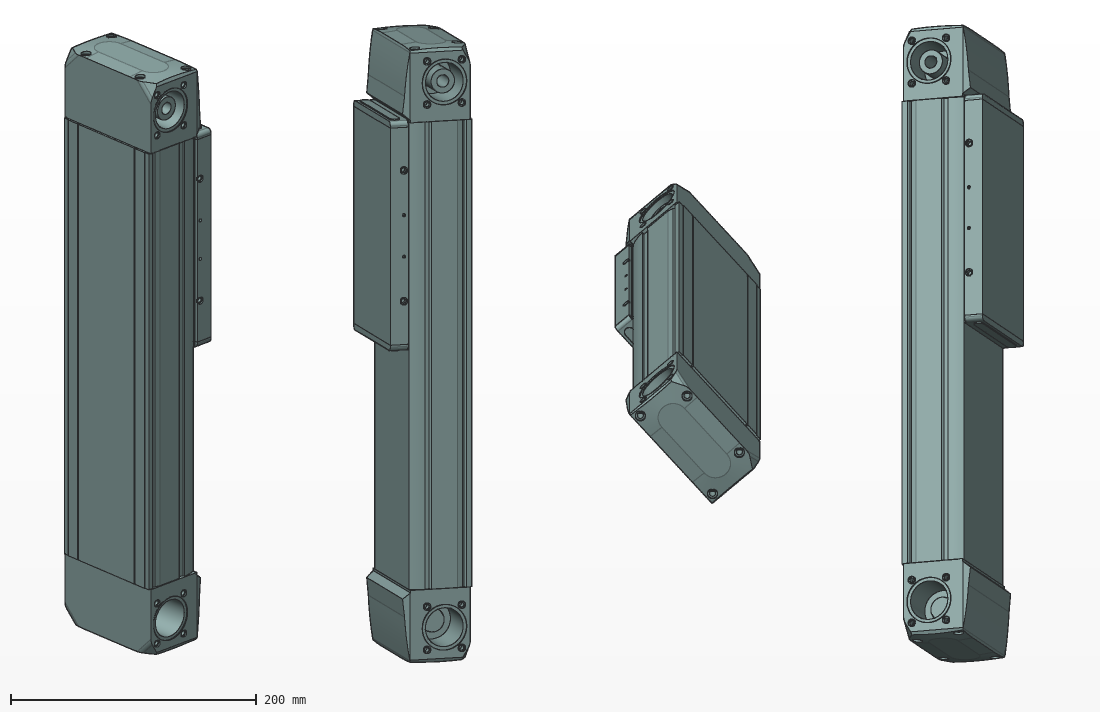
import cadquery as cq
import math

total_length = 511.0
head_length = 62.0
half_length = total_length / 2
head_inner_z = half_length - head_length

profile_half_width = 50.0
profile_top = 53.0
shoulder_half_width = 47.0
shoulder_arc_x = 49.0
shoulder_arc_y = 47.0
lower_groove_bottom = 5.0
lower_groove_floor = 6.5
lower_groove_bend = 8.0
lower_groove_top = 13.0
upper_groove_bottom = 35.0
upper_groove_floor = 36.5
upper_groove_top = 40.5
side_groove_depth = 2.0
flank_bend_depth = 1.0
corner_step_width = 4.5
corner_step_depth = 0.5
back_groove_x = 33.5
back_groove_width = 1.0
back_groove_depth = 1.5

head_half_width = 51.0
head_back = 2.0
pad_half_length = 38.5
pad_radius = 12.5
pad_center_y = 28.0
end_slope = 0.1
end_spread = 30.5
corner_leg = 15.0
corner_depth = 8.5
corner_round = 6.0
side_bevel_width = 2.0
side_bevel_height = 4.0

cover_base = 51.0
cover_side_y = 53.5
cover_half_width = 49.0
cover_crest = 59.5
cover_lip_z = 195.5
cover_crest_z = 201.0
cover_ridge_y = 57.5
cover_ridge_z = 215.5
cover_arc_y = 56.0
cover_arc_z = 234.0
cover_end_z = 252.0
cover_end_y = 52.5

shaft_y = 24.0
shaft_inset = 29.5
bore_diameter = 32.0
bore_depth = 36.0
hub_diameter = 20.0
drive_hub_recess = 5.0
idler_hub_recess = 33.0
drive_hole_diameter = 10.0
ring_outer_diameter = 38.0
ring_depth = 1.0

flange_hole_diameter = 4.0
flange_hole_depth = 7.5
flange_sink_diameter = 6.0
flange_sink_depth = 1.5
flange_spacing_y = 29.5
flange_spacing_z = 36.0
screw_head_diameter = 8.0
screw_head_depth = 3.0
screw_diameter = 5.0
screw_depth = 15.5
back_screw_x = 32.0
back_screw_y = 7.5
front_screw_x = 44.5
front_screw_y = 47.5

carriage_half_width = 50.0
carriage_top = 70.0
carriage_bottom = 54.5
carriage_center_z = 100.0
carriage_length = 190.0
neck_half_width = 47.5
cap_thickness = 5.0
plate_half_length = carriage_length / 2 - cap_thickness
cap_round = 3.5
boss_length = 88.0
boss_diameter = 8.0
boss_height = 1.0
boss_y = 63.5
carriage_hole_y = 58.0
screw_seat_diameter = 6.0
screw_seat_depth = 1.5
large_hole_diameter = 4.0
large_hole_depth = 5.0
large_hole_spacing = 108.5
small_hole_diameter = 2.45
small_hole_depth = 2.5
small_hole_spacing = 34.0


def block(x_range, y_range, z_range):
    """Box between the given (low, high) limits."""
    sizes = [high - low for low, high in (x_range, y_range, z_range)]
    return cq.Workplane("XY", origin=(x_range[0], y_range[0], z_range[0])).box(*sizes, centered=False)


def side_cylinder(diameter, depth, outer_x, y, z):
    """Cylinder sunk inward from the -X side face at x = -outer_x."""
    return cq.Workplane("YZ", origin=(-outer_x, y, z)).circle(diameter / 2).extrude(depth)


def on_both_sides(shape):
    """The shape together with its mirror image across the middle plane X = 0."""
    return shape.union(shape.mirror("YZ"))


def make_profile():
    side = profile_half_width
    step_x = side - corner_step_width
    half = (
        cq.Workplane("XY", origin=(0, 0, -head_inner_z))
        .moveTo(0, 0)
        .lineTo(step_x, 0)
        .lineTo(step_x, corner_step_depth)
        .lineTo(side, corner_step_depth)
        .lineTo(side, lower_groove_bottom)
        .lineTo(side - side_groove_depth, lower_groove_floor)
        .lineTo(side - flank_bend_depth, lower_groove_bend)
        .lineTo(side, lower_groove_top)
        .lineTo(side, upper_groove_bottom)
        .lineTo(side - side_groove_depth, upper_groove_floor)
        .lineTo(side - side_groove_depth, upper_groove_top)
        .lineTo(side, upper_groove_top)
        .threePointArc((shoulder_arc_x, shoulder_arc_y), (shoulder_half_width, profile_top))
        .lineTo(0, profile_top)
        .close()
        .extrude(2 * head_inner_z)
    )
    groove = block(
        (back_groove_x - back_groove_width / 2, back_groove_x + back_groove_width / 2),
        (0, back_groove_depth),
        (-head_inner_z, head_inner_z),
    )
    return on_both_sides(half.cut(groove))


def tetrahedron(corner, tips):
    """Solid spanned by a corner and three tips."""
    triangles = [tips, [corner, tips[0], tips[1]], [corner, tips[1], tips[2]], [corner, tips[2], tips[0]]]
    faces = [cq.Face.makeFromWires(cq.Wire.makePolygon(points, close=True)) for points in triangles]
    return cq.Workplane(obj=cq.Solid.makeSolid(cq.Shell.makeShell(faces)))


def head_block():
    """Block of the head with a facet on each back corner, rounded into the back face."""
    body = block((-head_half_width, head_half_width), (head_back, cover_base), (head_inner_z, half_length))
    for side in (-1, 1):
        corner = cq.Vector(side * head_half_width, head_back, half_length)
        tips = [
            corner + cq.Vector(-side * corner_leg, 0, 0),
            corner + cq.Vector(0, corner_depth, 0),
            corner + cq.Vector(0, 0, -corner_leg),
        ]
        body = body.cut(tetrahedron(corner, tips))
        facet_edge = cq.selectors.NearestToPointSelector(((tips[0] + tips[2]) / 2).toTuple())
        body = body.edges(facet_edge).fillet(corner_round)
    return body


def head_cover():
    """Bulged cover: its lengthwise outline, trimmed to a plan that narrows towards the crest."""
    bulge = (
        cq.Workplane("YZ", origin=(-head_half_width, 0, 0))
        .moveTo(cover_base, head_inner_z)
        .lineTo(profile_top, head_inner_z)
        .lineTo(profile_top, cover_lip_z)
        .lineTo(cover_crest, cover_crest_z)
        .lineTo(cover_ridge_y, cover_ridge_z)
        .threePointArc((cover_arc_y, cover_arc_z), (cover_side_y, cover_end_z))
        .lineTo(cover_end_y, half_length)
        .lineTo(cover_base, half_length)
        .close()
        .extrude(2 * head_half_width)
    )
    plan = (
        cq.Workplane("XY", origin=(0, 0, head_inner_z))
        .moveTo(-head_half_width, cover_base)
        .lineTo(-head_half_width, cover_side_y)
        .lineTo(-cover_half_width, cover_crest)
        .lineTo(cover_half_width, cover_crest)
        .lineTo(head_half_width, cover_side_y)
        .lineTo(head_half_width, cover_base)
        .close()
        .extrude(head_length)
    )
    return bulge.intersect(plan)


def side_bevels():
    """Wedges that bevel the two end edges along the sides."""
    bevel = (
        cq.Workplane("XZ", origin=(0, cover_crest, 0))
        .moveTo(head_half_width, half_length)
        .lineTo(head_half_width - side_bevel_width, half_length)
        .lineTo(head_half_width, half_length - side_bevel_height)
        .close()
        .extrude(cover_crest)
    )
    return on_both_sides(bevel)


def end_slope_envelope():
    """Flat obround pad at the end, falling away gently on all sides."""
    drop = end_slope * end_spread
    slope = (
        cq.Workplane("XY", origin=(0, pad_center_y, half_length - drop))
        .slot2D(2 * (pad_half_length + end_spread), 2 * (pad_radius + end_spread))
        .extrude(drop, taper=math.degrees(math.atan(1 / end_slope)))
    )
    reach = 2 * head_half_width
    return slope.union(block((-reach, reach), (-reach, reach), (0, half_length - drop)))


def head_holes(hub_recess):
    """Shaft bore around its hub, rim recess and flange holes on the -X side, plus the end screw holes."""
    shaft_z = half_length - shaft_inset
    ring = side_cylinder(ring_outer_diameter, ring_depth, head_half_width, shaft_y, shaft_z)
    bore = side_cylinder(bore_diameter, bore_depth, head_half_width, shaft_y, shaft_z)
    hub = side_cylinder(hub_diameter, bore_depth - hub_recess, head_half_width - hub_recess, shaft_y, shaft_z)
    holes = ring.union(bore).cut(hub)
    for side_y in (-1, 1):
        for side_z in (-1, 1):
            y = shaft_y + side_y * flange_spacing_y / 2
            z = shaft_z + side_z * flange_spacing_z / 2
            for diameter, depth in (
                (flange_hole_diameter, flange_hole_depth),
                (flange_sink_diameter, flange_sink_depth),
            ):
                holes = holes.union(side_cylinder(diameter, depth, head_half_width, y, z))
    for x, y in ((-back_screw_x, back_screw_y), (-front_screw_x, front_screw_y)):
        end = cq.Workplane("XY", origin=(x, y, half_length))
        holes = holes.union(end.circle(screw_head_diameter / 2).extrude(-screw_head_depth))
        holes = holes.union(end.circle(screw_diameter / 2).extrude(-screw_depth))
    return on_both_sides(holes)


def make_head(hub_recess):
    body = head_block().union(head_cover()).cut(side_bevels()).intersect(end_slope_envelope())
    return body.cut(head_holes(hub_recess))


def make_drive_head():
    through_hole = side_cylinder(
        drive_hole_diameter, 2 * head_half_width, head_half_width, shaft_y, half_length - shaft_inset
    )
    return make_head(drive_hub_recess).cut(through_hole)


def make_idler_head():
    return make_head(idler_hub_recess).mirror("XY")


def make_carriage():
    z_range = (carriage_center_z - plate_half_length, carriage_center_z + plate_half_length)
    plate = block((-carriage_half_width, carriage_half_width), (carriage_bottom, carriage_top), z_range)
    neck = block((-neck_half_width, neck_half_width), (profile_top, carriage_bottom), z_range)
    holes = cq.Workplane("XY")
    for diameter, depth, spacing in (
        (screw_seat_diameter, screw_seat_depth, large_hole_spacing),
        (large_hole_diameter, large_hole_depth, large_hole_spacing),
        (small_hole_diameter, small_hole_depth, small_hole_spacing),
    ):
        for side_z in (-1, 1):
            z = carriage_center_z + side_z * spacing / 2
            holes = holes.union(side_cylinder(diameter, depth, carriage_half_width, carriage_hole_y, z))
    return plate.union(neck).cut(on_both_sides(holes))


def make_end_cap(side_z):
    """End cap of the carriage, with rounded outer corners and an obround boss."""
    cap = block(
        (-carriage_half_width, carriage_half_width), (carriage_bottom, carriage_top), (0, cap_thickness)
    )
    cap = cap.edges("|Y and >Z").fillet(cap_round)
    boss = (
        cq.Workplane("XY", origin=(0, boss_y, cap_thickness))
        .slot2D(boss_length, boss_diameter)
        .extrude(boss_height)
    )
    neck = block((-neck_half_width, neck_half_width), (profile_top, carriage_bottom), (0, cap_thickness))
    cap = cap.union(boss).union(neck)
    if side_z < 0:
        cap = cap.mirror("XY")
    return cap.translate((0, 0, carriage_center_z + side_z * plate_half_length))


profile = make_profile()
drive_head = make_drive_head()
idler_head = make_idler_head()
carriage = make_carriage()
end_caps = [make_end_cap(side_z).val() for side_z in (-1, 1)]

result = cq.Compound.makeCompound(
    [profile.val(), drive_head.val(), idler_head.val(), carriage.val(), *end_caps]
)